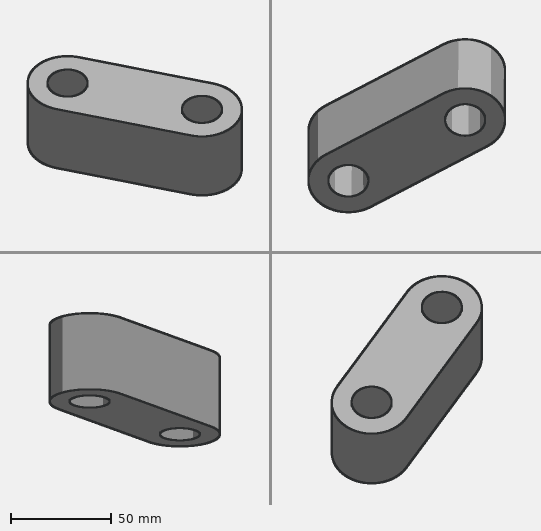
import cadquery as cq

length = 110.0
width = 40.0
height = width
hole_diameter = width / 2

hole_spacing = length - width

body = cq.Workplane("XY").slot2D(length, width).extrude(height)

result = (
    body.faces(">Z")
    .workplane()
    .pushPoints([(-hole_spacing / 2, 0), (hole_spacing / 2, 0)])
    .hole(hole_diameter)
)